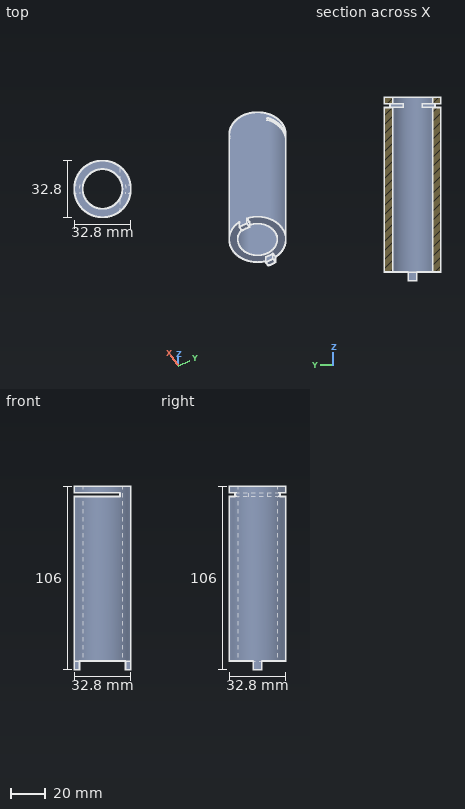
import cadquery as cq

outer_diameter = 32.8
bore_diameter = 22.8
total_height = 106.0

foot_height = 5.0
foot_width = 5.0
foot_thickness = 3.0

slot_height = 2.0
collar_height = 4.0
slot_end_x = 10.0

slot_floor_z = total_height - collar_height - slot_height


def ring(outer, inner, bottom_z, height):
    """Plain tube section about the Z axis."""
    return (
        cq.Workplane("XY")
        .workplane(offset=bottom_z)
        .circle(outer / 2)
        .circle(inner / 2)
        .extrude(height)
    )


def make_tube():
    """Main tube, lifted above the feet."""
    return ring(outer_diameter, bore_diameter, foot_height, total_height - foot_height)


def make_feet():
    """Two opposite feet on the X axis, flush with the outside of the tube."""
    foot_ring = ring(outer_diameter, outer_diameter - 2 * foot_thickness, 0, foot_height)
    crossbar = cq.Workplane("XY").box(
        outer_diameter, foot_width, foot_height, centered=(True, True, False)
    )
    return foot_ring.intersect(crossbar)


def make_slot():
    """Level saw cut entering from -X and stopping at a flat end wall."""
    slot_start_x = -outer_diameter
    slot_length = slot_end_x - slot_start_x
    return (
        cq.Workplane("XY")
        .box(slot_length, 2 * outer_diameter, slot_height, centered=(False, True, False))
        .translate((slot_start_x, 0, slot_floor_z))
    )


result = make_tube().union(make_feet()).cut(make_slot())